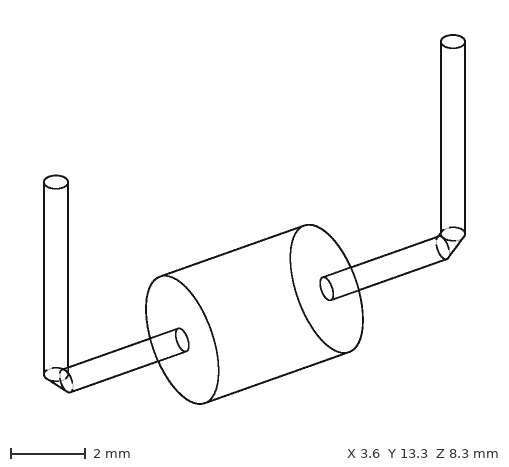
import cadquery as cq

overall_length = 13.3
overall_height = 8.3
body_diameter = 3.6
body_length = 4.6
lead_diameter = 0.65

lead_radius = lead_diameter / 2
lead_top = overall_height - body_diameter / 2
bend_start = overall_length / 2 - lead_diameter
bend_top = lead_radius

axial_end = cq.Plane(origin=(0, bend_start, 0), xDir=(1, 0, 0), normal=(0, 1, 0))
upright_start = cq.Plane(
    origin=(0, bend_start + lead_radius, bend_top), xDir=(1, 0, 0), normal=(0, 0, 1)
)


def rod_along_y(diameter, length):
    """Round rod on the Y axis, centred on the origin."""
    start = cq.Plane(origin=(0, -length / 2, 0), xDir=(1, 0, 0), normal=(0, 1, 0))
    return cq.Workplane(start).circle(diameter / 2).extrude(length)


def make_bend():
    """Chamfer-like 45 degree elbow: straight lines join the two lead end circles."""
    end_circles = [
        cq.Workplane(plane).circle(lead_radius).wires().val()
        for plane in (axial_end, upright_start)
    ]
    return cq.Workplane(cq.Solid.makeLoft(end_circles, ruled=True))


def make_upright():
    """Vertical wire at the +Y end."""
    return cq.Workplane(upright_start).circle(lead_radius).extrude(lead_top - bend_top)


body = rod_along_y(body_diameter, body_length)
axial_lead = rod_along_y(lead_diameter, 2 * bend_start)

result = body.union(axial_lead)
for end_piece in (make_bend(), make_upright()):
    result = result.union(end_piece).union(end_piece.mirror("XZ"))